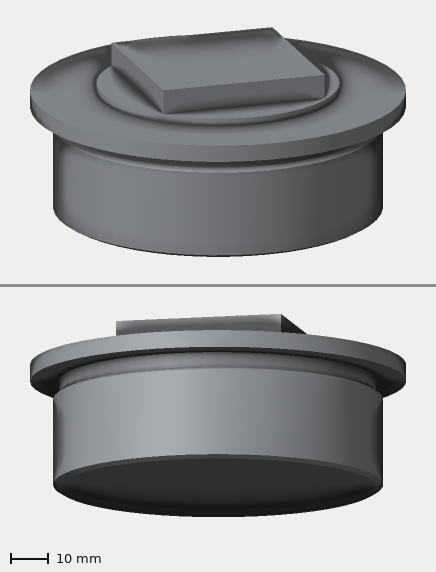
import cadquery as cq

total_height = 42.0
flange_diameter = 100.0

body_diameter = 87.8
body_height = 24.8
bevel_width = 1.5
bevel_height = 0.9

collar_diameter = body_diameter - 2 * bevel_width
collar_height = 0.3
neck_diameter = 84.6
neck_height = 3.7

flange_thickness = 4.5
pad_diameter = 64.6
pad_thickness = 2.0
head_side = 45.0

collar_bottom = body_height
neck_bottom = collar_bottom + collar_height
flange_bottom = neck_bottom + neck_height
pad_bottom = flange_bottom + flange_thickness
head_bottom = pad_bottom + pad_thickness
head_height = total_height - head_bottom


def disk(diameter, height, bottom):
    """Solid disk centred on the Z axis."""
    return cq.Workplane("XY").workplane(offset=bottom).circle(diameter / 2).extrude(height)


def bevelled_body():
    """Half profile of the body, revolved around the Z axis."""
    outer_radius = body_diameter / 2
    end_radius = outer_radius - bevel_width
    profile = [
        (0, 0),
        (end_radius, 0),
        (outer_radius, bevel_height),
        (outer_radius, body_height - bevel_height),
        (end_radius, body_height),
        (0, body_height),
    ]
    return cq.Workplane("XZ").polyline(profile).close().revolve(360, (0, 0), (0, 1))


body = bevelled_body()
collar = disk(collar_diameter, collar_height, collar_bottom)
neck = disk(neck_diameter, neck_height, neck_bottom)
flange = disk(flange_diameter, flange_thickness, flange_bottom)
pad = disk(pad_diameter, pad_thickness, pad_bottom)
head = cq.Workplane("XY").workplane(offset=head_bottom).rect(head_side, head_side).extrude(head_height)

result = body.union(collar).union(neck).union(flange).union(pad).union(head)